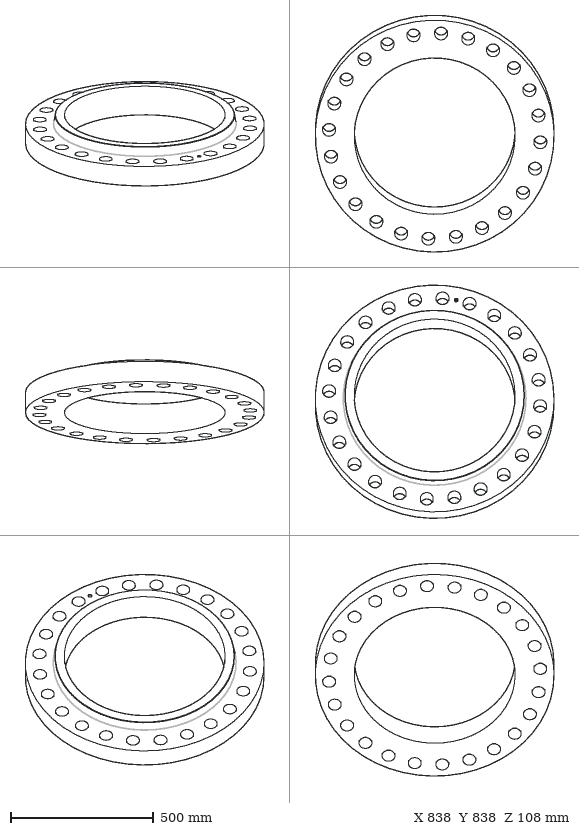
import cadquery as cq

flange_diameter = 838.0
flange_thickness = 74.0
bore_diameter = 564.0

overall_height = 108.0
hub_base_diameter = 640.0
hub_top_diameter = 630.0
hub_edge_chamfer = 2.0
hub_root_radius = 2.0

bolt_count = 24
bolt_circle_diameter = 742.5
bolt_hole_diameter = 45.0
bolt_pitch_angle = 360 / bolt_count

pin_mouth_diameter = 12.5
pin_drill_diameter = 10.0
pin_drill_depth = 17.0
pin_pilot_diameter = 5.0
pin_hole_depth = 21.0
pin_hole_angle = bolt_pitch_angle / 2


def ring_body():
    """Flange and hub, turned about Z from one half section."""
    bore_radius = bore_diameter / 2
    flange_radius = flange_diameter / 2
    hub_top_radius = hub_top_diameter / 2
    half_section = (
        cq.Workplane("XZ")
        .moveTo(bore_radius, 0)
        .lineTo(flange_radius, 0)
        .lineTo(flange_radius, flange_thickness)
        .lineTo(hub_base_diameter / 2, flange_thickness)
        .lineTo(hub_top_radius, overall_height - hub_edge_chamfer)
        .lineTo(hub_top_radius - hub_edge_chamfer, overall_height)
        .lineTo(bore_radius, overall_height)
        .close()
    )
    ring = half_section.revolve(360, (0, 0, 0), (0, 1, 0))
    flange_top = ring.faces("<Z[1]")
    hub_root = flange_top.edges(cq.selectors.RadiusNthSelector(0))
    return hub_root.fillet(hub_root_radius)


def bolt_holes():
    return (
        cq.Workplane("XY")
        .polarArray(bolt_circle_diameter / 2, 0, 360, bolt_count)
        .circle(bolt_hole_diameter / 2)
        .extrude(flange_thickness)
    )


def pin_hole():
    """Stepped hole with a chamfered mouth, turned about its own axis and moved into place."""
    mouth_radius = pin_mouth_diameter / 2
    drill_radius = pin_drill_diameter / 2
    pilot_radius = pin_pilot_diameter / 2
    half_section = (
        cq.Workplane("XZ")
        .lineTo(mouth_radius, 0)
        .lineTo(drill_radius, drill_radius - mouth_radius)
        .lineTo(drill_radius, -pin_drill_depth)
        .lineTo(pilot_radius, -pin_drill_depth)
        .lineTo(pilot_radius, -pin_hole_depth)
        .lineTo(0, -pin_hole_depth)
        .close()
    )
    return (
        half_section.revolve(360, (0, 0, 0), (0, 1, 0))
        .translate((bolt_circle_diameter / 2, 0, flange_thickness))
        .rotate((0, 0, 0), (0, 0, 1), pin_hole_angle)
    )


result = ring_body().cut(bolt_holes()).cut(pin_hole())